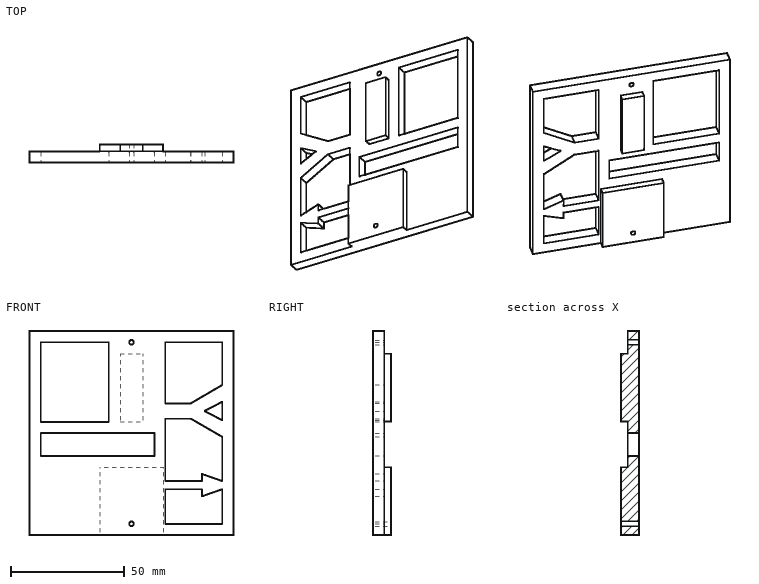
import cadquery as cq

SIDE = 90.0
THICKNESS = SIDE / 18
TOTAL_DEPTH = 8.0
BORDER = THICKNESS
MIDDLE = SIDE / 2

LARGE_WINDOW_WIDTH = 30.0
LARGE_WINDOW_HEIGHT = 35.0
SLOT_WIDTH = 50.0
SLOT_HEIGHT = 10.0

TALL_WINDOW_WIDTH = 25.0
RIGHT = SIDE - BORDER
LEFT = RIGHT - TALL_WINDOW_WIDTH
TOP = SIDE - BORDER
BOTTOM = BORDER

STEM_TOP = 58.05
STEM_BOTTOM = 51.3
UPPER_BRANCH_START = 11.0
LOWER_BRANCH_START = 11.2
UPPER_BRANCH_END = 66.2
LOWER_BRANCH_END = 43.3
TRIANGLE_LENGTH = 7.7
TRIANGLE_HEIGHT = 8.0
TRIANGLE_CENTER = 54.7

ARROW_CENTER = 22.05
SHAFT_WIDTH = 3.7
HEAD_WIDTH = 10.0
HEAD_LENGTH = 9.0

HOLE_DIAMETER = 2.0

PAD_HEIGHT = 30.0
UPPER_PAD_WIDTH = 10.0
UPPER_PAD_BOTTOM = 50.0
LOWER_PAD_WIDTH = 28.0


def through_cut(points):
    """Prism through the plate thickness from an XZ outline."""
    return cq.Workplane("XZ").polyline(points).close().extrude(-THICKNESS)


def rectangle_cut(left, top, width, height):
    right = left + width
    bottom = top - height
    return through_cut([(left, top), (right, top), (right, bottom), (left, bottom)])


def pad(bottom, width):
    """Rectangular pad on the vertical centerline, raised from the back face."""
    size = (width, TOTAL_DEPTH - THICKNESS, PAD_HEIGHT)
    corner = (MIDDLE - width / 2, THICKNESS, bottom)
    return cq.Workplane("XY").box(*size, centered=False).translate(corner)


def tall_window_cuts():
    """The four openings left around the Y-shaped web and the arrow."""
    shaft_top = ARROW_CENTER + SHAFT_WIDTH / 2
    shaft_bottom = ARROW_CENTER - SHAFT_WIDTH / 2
    head_back = RIGHT - HEAD_LENGTH
    above_web = through_cut([
        (LEFT, TOP),
        (RIGHT, TOP),
        (RIGHT, UPPER_BRANCH_END),
        (LEFT + UPPER_BRANCH_START, STEM_TOP),
        (LEFT, STEM_TOP),
    ])
    triangle = through_cut([
        (RIGHT - TRIANGLE_LENGTH, TRIANGLE_CENTER),
        (RIGHT, TRIANGLE_CENTER + TRIANGLE_HEIGHT / 2),
        (RIGHT, TRIANGLE_CENTER - TRIANGLE_HEIGHT / 2),
    ])
    above_arrow = through_cut([
        (LEFT, STEM_BOTTOM),
        (LEFT + LOWER_BRANCH_START, STEM_BOTTOM),
        (RIGHT, LOWER_BRANCH_END),
        (RIGHT, shaft_top),
        (head_back, ARROW_CENTER + HEAD_WIDTH / 2),
        (head_back, shaft_top),
        (LEFT, shaft_top),
    ])
    below_arrow = through_cut([
        (LEFT, shaft_bottom),
        (head_back, shaft_bottom),
        (head_back, ARROW_CENTER - HEAD_WIDTH / 2),
        (RIGHT, shaft_bottom),
        (RIGHT, BOTTOM),
        (LEFT, BOTTOM),
    ])
    return [above_web, triangle, above_arrow, below_arrow]


result = cq.Workplane("XY").box(SIDE, THICKNESS, SIDE, centered=False)
result = result.union(pad(UPPER_PAD_BOTTOM, UPPER_PAD_WIDTH))
result = result.union(pad(0, LOWER_PAD_WIDTH))

slot_top = TOP - LARGE_WINDOW_HEIGHT - BORDER
result = result.cut(rectangle_cut(BORDER, TOP, LARGE_WINDOW_WIDTH, LARGE_WINDOW_HEIGHT))
result = result.cut(rectangle_cut(BORDER, slot_top, SLOT_WIDTH, SLOT_HEIGHT))

for opening in tall_window_cuts():
    result = result.cut(opening)

for height in (BOTTOM, TOP):
    hole = cq.Workplane("XZ").center(MIDDLE, height).circle(HOLE_DIAMETER / 2).extrude(-TOTAL_DEPTH)
    result = result.cut(hole)